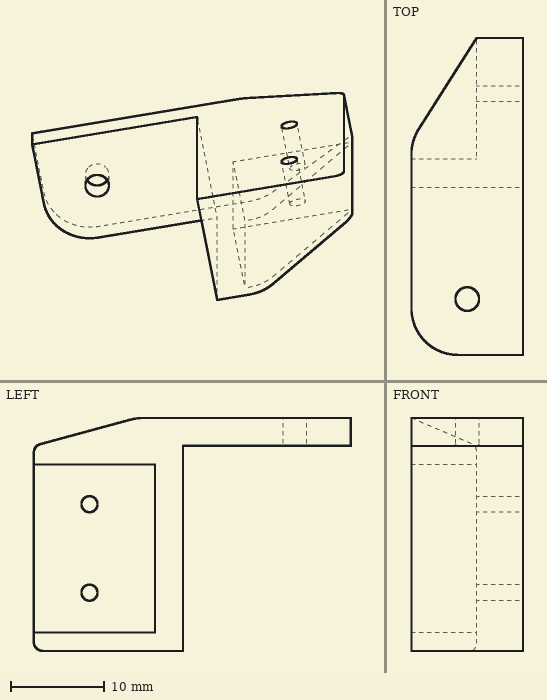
import cadquery as cq

width = 12.0
length = 34.0
height = 25.0

arm_thickness = 3.0
block_depth = 16.0
block_front = length - block_depth

taper_length = 11.0
taper_start = length - taper_length
top_drop = 3.0
plate_thickness = 5.0
side_cut = width - plate_thickness

corner_radius = 5.0
back_edge_radius = 1.0

pocket_depth = side_cut
pocket_length = 13.0
pocket_height = 18.0
pocket_bottom = 2.0
pocket_middle = pocket_bottom + pocket_height / 2

arm_hole_diameter = 2.5
arm_hole_x = width / 2
arm_hole_y = arm_hole_x
plate_hole_diameter = 1.7
plate_hole_from_back = 6.0
plate_hole_spacing = 9.5


def side_profile_body():
    """L-shaped body with a sloping rear top and rounded edges."""
    body = (
        cq.Workplane("YZ")
        .moveTo(0, height)
        .lineTo(taper_start, height)
        .lineTo(length, height - top_drop)
        .lineTo(length, 0)
        .lineTo(block_front, 0)
        .lineTo(block_front, height - arm_thickness)
        .lineTo(0, height - arm_thickness)
        .close()
        .extrude(width)
    )
    slope_edge = cq.selectors.NearestToPointSelector((width / 2, taper_start, height))
    body = body.edges(slope_edge).fillet(corner_radius)
    return body.faces(">Y").edges("|X").fillet(back_edge_radius)


def plan_outline_body():
    """Plan outline with a tapered rear and a rounded front corner."""
    return (
        cq.Workplane("XY")
        .moveTo(0, 0)
        .lineTo(width, 0)
        .lineTo(width, length)
        .lineTo(side_cut, length)
        .lineTo(0, taper_start)
        .close()
        .extrude(height)
        .edges("|Z and <X")
        .fillet(corner_radius)
    )


def pocket():
    """Space above the mounting plate, open to the left and to the back."""
    return (
        cq.Workplane("XY")
        .box(pocket_depth, pocket_length, pocket_height, centered=False)
        .translate((0, length - pocket_length, pocket_bottom))
    )


def arm_hole():
    """Vertical through hole near the front of the arm."""
    return (
        cq.Workplane("XY")
        .center(arm_hole_x, arm_hole_y)
        .circle(arm_hole_diameter / 2)
        .extrude(height)
    )


def plate_holes():
    """Two holes through the mounting plate, centred on the pocket height."""
    return (
        cq.Workplane("YZ")
        .center(length - plate_hole_from_back, pocket_middle)
        .rarray(0.35, plate_hole_spacing, 1, 2)
        .circle(plate_hole_diameter / 2)
        .extrude(width)
    )


bracket = side_profile_body().intersect(plan_outline_body())
result = bracket.cut(pocket()).cut(arm_hole()).cut(plate_holes())